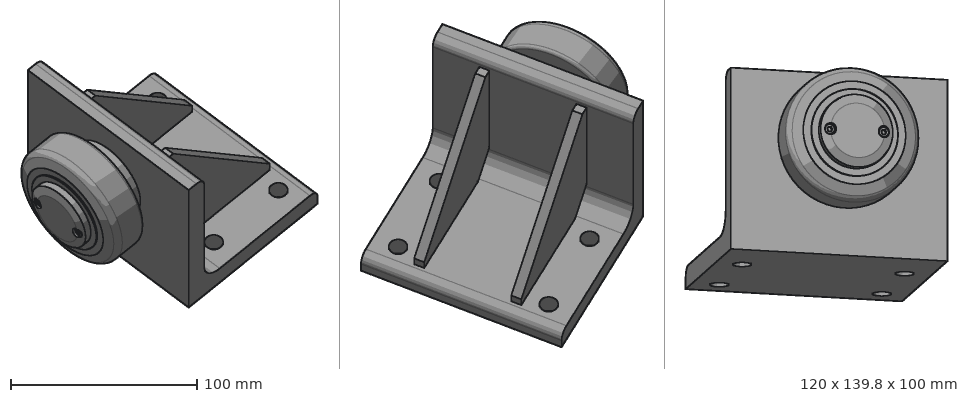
import cadquery as cq
import math

bracket_width = 120.0
bracket_size = 100.0
thickness = 12.0
inner_radius = 12.0
edge_radius = 6.0

hole_diameter = 10.0
hole_inset = 15.0
hole_spacing = 50.0

rib_thickness = 6.0
rib_spacing = 58.0
rib_inset = 8.0
rib_end_height = 5.0
rib_corner_relief = 14.0

axle_height = 60.0
collar_diameter = 48.0
roller_diameter = 73.7
roller_face_diameter = 56.8
roller_start = 10.5
roller_end = 33.4
roller_back_fillet = 2.0
roller_front_fillet = 4.0
roller_cone_angle = 19.5
collar_end = 34.3
cap_diameter = 40.0
cap_face_diameter = 29.9
cap_bevel_start = 38.3
cap_end = 139.8 - bracket_size

recess_diameter = 6.5
recess_floor_diameter = 5.3
recess_depth = 1.3
recess_offset = 15.0
socket_corner_diameter = 2.8
socket_depth = 1.4


def make_bracket():
    profile = (
        cq.Workplane("YZ")
        .polyline([
            (0, 0),
            (bracket_size, 0),
            (bracket_size, thickness),
            (thickness, thickness),
            (thickness, bracket_size),
            (0, bracket_size),
        ])
        .close()
        .extrude(bracket_width / 2, both=True)
    )
    inner_corner = cq.selectors.NearestToPointSelector((0, thickness, thickness))
    foot_edge = cq.selectors.NearestToPointSelector((0, bracket_size, thickness))
    wall_edge = cq.selectors.NearestToPointSelector((0, thickness, bracket_size))
    body = profile.edges(inner_corner).fillet(inner_radius)
    body = body.edges(foot_edge).fillet(edge_radius)
    body = body.edges(wall_edge).fillet(edge_radius)

    hole_centre_y = bracket_size - hole_inset - hole_spacing / 2
    holes = (
        cq.Workplane("XY")
        .center(0, hole_centre_y)
        .rarray(bracket_width - 2 * hole_inset, hole_spacing, 2, 2)
        .circle(hole_diameter / 2)
        .extrude(thickness)
    )
    return body.cut(holes)


def make_rib(centre_x):
    tip = bracket_size - rib_inset
    relief = thickness + rib_corner_relief
    end = thickness + rib_end_height
    return (
        cq.Workplane("YZ", origin=(centre_x, 0, 0))
        .polyline([
            (relief, thickness),
            (tip, thickness),
            (tip, end),
            (end, tip),
            (thickness, tip),
            (thickness, relief),
        ])
        .close()
        .extrude(rib_thickness / 2, both=True)
    )


def make_roller():
    """Revolve the collar, roller and cap about the axle; points are (radius, Y)."""
    outer = roller_diameter / 2
    face = roller_face_diameter / 2
    collar = collar_diameter / 2
    cap = cap_diameter / 2
    cone_start = roller_end - (outer - face) * math.tan(math.radians(roller_cone_angle))
    turned = (
        cq.Workplane("XY")
        .polyline([
            (0, 0),
            (collar, 0),
            (collar, -roller_start),
            (outer, -roller_start),
            (outer, -cone_start),
            (face, -roller_end),
            (collar, -roller_end),
            (collar, -collar_end),
            (cap, -collar_end),
            (cap, -cap_bevel_start),
            (cap_face_diameter / 2, -cap_end),
            (0, -cap_end),
        ])
        .close()
        .revolve(360, (0, 0, 0), (0, 1, 0))
    )
    outer_rim = cq.selectors.RadiusNthSelector(-1)
    rims = turned.edges(outer_rim)
    turned = rims.edges("<Y").fillet(roller_front_fillet)
    turned = turned.edges(outer_rim).edges(">Y").fillet(roller_back_fillet)
    return turned.translate((0, 0, axle_height))


def make_recess(centre_x):
    face = cq.Workplane("XZ", origin=(centre_x, -cap_end, axle_height))
    taper = (
        face.circle(recess_diameter / 2)
        .workplane(offset=-recess_depth)
        .circle(recess_floor_diameter / 2)
        .loft()
    )
    socket = (
        face.workplane(offset=-recess_depth)
        .polygon(6, socket_corner_diameter)
        .extrude(-socket_depth)
    )
    return taper.union(socket)


result = make_bracket().union(make_roller())
for side in (-1, 1):
    result = result.union(make_rib(side * rib_spacing / 2))
    result = result.cut(make_recess(side * recess_offset))